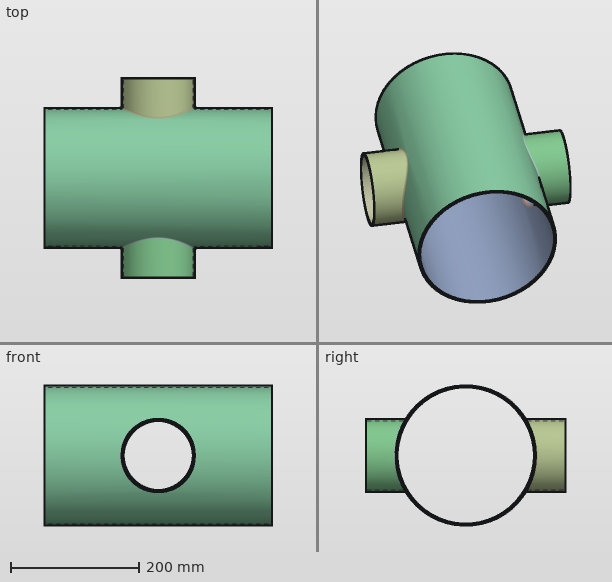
import cadquery as cq

pipe_length = 356.0
pipe_diameter = 219.0
pipe_bore = 213.2

branch_span = 312.0
branch_diameter = 114.3
branch_bore = 108.2

outer_blend_radius = 3.0
inner_blend_radius = 6.0


def blended_cross(main_diameter, side_diameter, blend_radius):
    """Solid bar along X crossed by a thinner bar along Y, with rounded junctions."""
    main_bar = cq.Workplane("YZ").circle(main_diameter / 2).extrude(pipe_length / 2, both=True)
    side_bar = cq.Workplane("XZ").circle(side_diameter / 2).extrude(branch_span / 2, both=True)
    cross = main_bar.union(side_bar)
    return cross.edges("not(%LINE or %CIRCLE)").fillet(blend_radius)


outer_body = blended_cross(pipe_diameter, branch_diameter, outer_blend_radius)
flow_passage = blended_cross(pipe_bore, branch_bore, inner_blend_radius)

result = outer_body.cut(flow_passage)